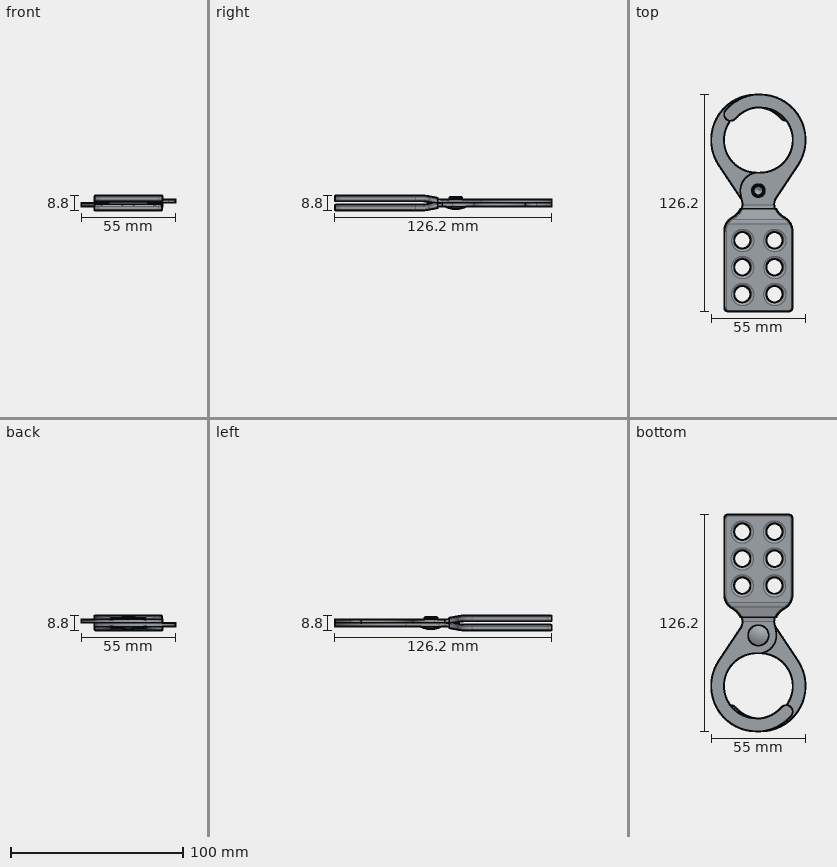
import cadquery as cq
import math


SHEET_THICKNESS = 2.1
RING_X = 1.0
RING_Y = 29.4
RING_OUTER_RADIUS = 26.5
RING_INNER_RADIUS = 18.9
TIP_ANGLE = 139.0
FLANK_ANGLE = -33.7
NECK_HALF_WIDTH = 9.2
NECK_ARC_RADIUS = 5.9
SHEET_END_HALF_WIDTH = 10.0
SHEET_END_Y = -12.6

BEND_START_Y = -8.3
BEND_ANGLE = 10.5
RISE_RADIUS = 13.5
LEVEL_RADIUS = 11.6

HANDLE_X = 0.1
HANDLE_HALF_WIDTH = 19.8
HANDLE_TOP_Y = -10.6
HANDLE_BOTTOM_Y = -70.3
HANDLE_THICKNESS = 3.5
HANDLE_OUTER_Z = 4.4
HANDLE_EDGE_RADIUS = 0.9
HANDLE_CORNER_RADIUS = 2.4
SHOULDER_RADIUS = 9.1
SHOULDER_Y = -23.6
WAIST_RADIUS = 11.4
WAIST_X = 20.6

HOLE_THROAT_DIAMETER = 9.5
HOLE_ROWS = 3
HOLE_COLUMN_X = 9.3
HOLE_FIRST_Y = -28.9
HOLE_PITCH = 15.7

RIVET_SHAFT_DIAMETER = 6.3
RIVET_HEAD_DIAMETER = 7.6
RIVET_HEAD_CHAMFER = 0.6
RIVET_RECESS_DIAMETER = 5.4
RIVET_RECESS_RIM_DEPTH = 0.5
RIVET_RECESS_DEPTH = 2.0
RIVET_DOME_DIAMETER = 12.0
RIVET_END_Z = 3.7

UPRIGHT_TOLERANCE = 0.01

SHEET_MID_Z = SHEET_THICKNESS / 2
HANDLE_MID_Z = HANDLE_OUTER_Z - HANDLE_THICKNESS / 2
BAND_HALF_WIDTH = RING_X + RING_OUTER_RADIUS
SLOPE = math.radians(BEND_ANGLE)
BEND_RISE = (RISE_RADIUS + LEVEL_RADIUS) * (1 - math.cos(SLOPE))
BEND_RUN = (RISE_RADIUS + LEVEL_RADIUS) * math.sin(SLOPE)
BEND_END_Y = BEND_START_Y - BEND_RUN - (HANDLE_MID_Z - SHEET_MID_Z - BEND_RISE) / math.tan(SLOPE)
HALF_HANDLE = HANDLE_THICKNESS / 2
PIVOT_DISC_RADIUS = math.hypot(RING_X, RING_Y) - RING_INNER_RADIUS
SHOULDER_X = HANDLE_HALF_WIDTH - SHOULDER_RADIUS
WAIST_Y = SHOULDER_Y + math.sqrt((SHOULDER_RADIUS + WAIST_RADIUS) ** 2 - (WAIST_X - SHOULDER_X) ** 2)


def polar(center, radius, angle):
    """Point on a circle, with the angle in degrees."""
    turn = math.radians(angle)
    return (center[0] + radius * math.cos(turn), center[1] + radius * math.sin(turn))


def mirrored(point):
    """Same point on the other side of the Y axis."""
    return (-point[0], point[1])


def rise_point(offset, angle):
    """Point of the bend from the flat sheet into the slope; offset is measured up from mid thickness."""
    return polar((BEND_START_Y, SHEET_MID_Z + RISE_RADIUS), RISE_RADIUS - offset, -90 - angle)


def level_point(offset, angle):
    """Point of the bend from the slope into the flat handle; offset is measured up from mid thickness."""
    return polar((BEND_END_Y, HANDLE_MID_Z - LEVEL_RADIUS), LEVEL_RADIUS + offset, 90 - angle)


def slope_point(offset):
    """Point where the slope, continued straight towards the ring, reaches the end of the handle."""
    start_y, start_z = level_point(offset, BEND_ANGLE)
    return (HANDLE_TOP_Y, start_z - (HANDLE_TOP_Y - start_y) * math.tan(SLOPE))


def sheet_band():
    """Wide band of sheet: flat at the ring, then bent into the slope."""
    half = SHEET_THICKNESS / 2
    ring_end_y = RING_Y + RING_OUTER_RADIUS
    return (
        cq.Workplane("YZ")
        .moveTo(ring_end_y, SHEET_MID_Z + half)
        .lineTo(*rise_point(half, 0))
        .threePointArc(rise_point(half, BEND_ANGLE / 2), rise_point(half, BEND_ANGLE))
        .lineTo(*level_point(half, BEND_ANGLE))
        .lineTo(*level_point(-half, BEND_ANGLE))
        .lineTo(*rise_point(-half, BEND_ANGLE))
        .threePointArc(rise_point(-half, BEND_ANGLE / 2), rise_point(-half, 0))
        .lineTo(ring_end_y, SHEET_MID_Z - half)
        .close()
        .extrude(BAND_HALF_WIDTH, both=True)
    )


def handle_band():
    """Wide band of handle: on the slope at the neck, then bent level."""
    return (
        cq.Workplane("YZ")
        .moveTo(*slope_point(HALF_HANDLE))
        .lineTo(*level_point(HALF_HANDLE, BEND_ANGLE))
        .threePointArc(level_point(HALF_HANDLE, BEND_ANGLE / 2), level_point(HALF_HANDLE, 0))
        .lineTo(HANDLE_BOTTOM_Y, HANDLE_MID_Z + HALF_HANDLE)
        .lineTo(HANDLE_BOTTOM_Y, HANDLE_MID_Z - HALF_HANDLE)
        .lineTo(*level_point(-HALF_HANDLE, 0))
        .threePointArc(level_point(-HALF_HANDLE, BEND_ANGLE / 2), level_point(-HALF_HANDLE, BEND_ANGLE))
        .lineTo(*slope_point(-HALF_HANDLE))
        .close()
        .extrude(BAND_HALF_WIDTH, both=True)
    )


def make_sheet():
    """Metal hook of a jaw: open ring, pivot disc and neck."""
    ring = (RING_X, RING_Y)
    pivot = (0, 0)
    tip_radius = (RING_OUTER_RADIUS - RING_INNER_RADIUS) / 2
    tip_center = polar(ring, RING_INNER_RADIUS + tip_radius, TIP_ANGLE)

    flank_start = polar(ring, RING_OUTER_RADIUS, FLANK_ANGLE)
    flank_normal = polar(pivot, 1, FLANK_ANGLE)
    neck_arc_x = NECK_HALF_WIDTH + NECK_ARC_RADIUS
    neck_arc_y = (
        flank_start[1]
        + (NECK_ARC_RADIUS - (neck_arc_x - flank_start[0]) * flank_normal[0]) / flank_normal[1]
    )
    neck_arc = (neck_arc_x, neck_arc_y)
    flank_end = polar(neck_arc, NECK_ARC_RADIUS, FLANK_ANGLE + 180)
    neck_arc_middle = polar(neck_arc, NECK_ARC_RADIUS, 180 + FLANK_ANGLE / 2)
    neck_side = (NECK_HALF_WIDTH, neck_arc_y)
    sheet_end = (SHEET_END_HALF_WIDTH, SHEET_END_Y)

    disc_start_angle = math.degrees(math.atan2(RING_Y, RING_X))
    disc_end_angle = (
        360
        + math.degrees(math.atan2(neck_arc_y, -NECK_HALF_WIDTH))
        - math.degrees(math.acos(PIVOT_DISC_RADIUS / math.hypot(*neck_side)))
    )
    disc_middle_angle = (disc_start_angle + disc_end_angle) / 2

    outline = (
        cq.Workplane("XY")
        .moveTo(*flank_start)
        .threePointArc(
            polar(ring, RING_OUTER_RADIUS, (FLANK_ANGLE + TIP_ANGLE) / 2),
            polar(ring, RING_OUTER_RADIUS, TIP_ANGLE),
        )
        .threePointArc(
            polar(tip_center, tip_radius, TIP_ANGLE + 90),
            polar(ring, RING_INNER_RADIUS, TIP_ANGLE),
        )
        .threePointArc(
            polar(ring, RING_INNER_RADIUS, 0),
            polar(pivot, PIVOT_DISC_RADIUS, disc_start_angle),
        )
        .threePointArc(
            polar(pivot, PIVOT_DISC_RADIUS, disc_middle_angle),
            polar(pivot, PIVOT_DISC_RADIUS, disc_end_angle),
        )
        .lineTo(*mirrored(neck_side))
        .lineTo(*mirrored(sheet_end))
        .lineTo(*sheet_end)
        .lineTo(*neck_side)
        .threePointArc(neck_arc_middle, flank_end)
        .close()
    )
    return outline.extrude(HANDLE_OUTER_Z).intersect(sheet_band())


def handle_outline():
    """Handle with rounded shoulders and a concave waist at the neck."""
    shoulder = (SHOULDER_X, SHOULDER_Y)
    waist = (WAIST_X, WAIST_Y)
    meet_angle = math.degrees(math.atan2(WAIST_Y - SHOULDER_Y, WAIST_X - SHOULDER_X))
    neck_angle = 180 + math.degrees(math.asin((WAIST_Y - HANDLE_TOP_Y) / WAIST_RADIUS))
    shoulder_start = (HANDLE_HALF_WIDTH, SHOULDER_Y)
    shoulder_middle = polar(shoulder, SHOULDER_RADIUS, meet_angle / 2)
    shoulder_end = polar(shoulder, SHOULDER_RADIUS, meet_angle)
    waist_middle = polar(waist, WAIST_RADIUS, (meet_angle + 180 + neck_angle) / 2)
    neck = polar(waist, WAIST_RADIUS, neck_angle)
    return (
        cq.Workplane("XY")
        .moveTo(HANDLE_HALF_WIDTH, HANDLE_BOTTOM_Y)
        .lineTo(*shoulder_start)
        .threePointArc(shoulder_middle, shoulder_end)
        .threePointArc(waist_middle, neck)
        .lineTo(*mirrored(neck))
        .threePointArc(mirrored(waist_middle), mirrored(shoulder_end))
        .threePointArc(mirrored(shoulder_middle), mirrored(shoulder_start))
        .lineTo(-HANDLE_HALF_WIDTH, HANDLE_BOTTOM_Y)
        .close()
    )


def padlock_holes():
    """Cutters that narrow along a quarter round from each face to the throat at mid thickness."""
    throat = HOLE_THROAT_DIAMETER / 2
    mouth = throat + HALF_HANDLE
    cutter = (
        cq.Workplane("XZ")
        .moveTo(0, -HALF_HANDLE)
        .lineTo(mouth, -HALF_HANDLE)
        .radiusArc((throat, 0), HALF_HANDLE)
        .radiusArc((mouth, HALF_HANDLE), HALF_HANDLE)
        .lineTo(0, HALF_HANDLE)
        .close()
        .revolve(360, (0, 0, 0), (0, 1, 0))
        .val()
    )
    places = [
        (side * HOLE_COLUMN_X, HOLE_FIRST_Y - row * HOLE_PITCH, HANDLE_MID_Z)
        for side in (-1, 1)
        for row in range(HOLE_ROWS)
    ]
    return cq.Workplane("XY").newObject([cutter.translate(cq.Vector(*place)) for place in places])


def is_side(face):
    """A side face stands upright, along the outline of the handle."""
    return abs(face.normalAt().z) < UPRIGHT_TOLERANCE


def rim_edges(handle):
    """Edges between the sides and the two broad faces, leaving the end at the neck sharp."""
    neck_end = handle.faces(">Y").edges().vals()
    sides = [face for face in handle.faces().vals() if is_side(face)]
    broad_faces = [face for face in handle.faces().vals() if not is_side(face)]
    side_edges = [edge for face in sides for edge in face.Edges()]
    broad_edges = [edge for face in broad_faces for edge in face.Edges()]

    def belongs(edge, edges):
        return any(edge.isSame(other) for other in edges)

    return [edge for edge in broad_edges if belongs(edge, side_edges) and not belongs(edge, neck_end)]


def make_handle():
    """Thick coated handle, bent like the sheet and kept clear of the other jaw."""
    prism = handle_outline().extrude(2 * HANDLE_OUTER_Z, both=True)
    prism = prism.edges("|Z and <Y").fillet(HANDLE_CORNER_RADIUS)
    handle = prism.intersect(handle_band())
    handle = handle.newObject(rim_edges(handle)).fillet(HANDLE_EDGE_RADIUS)

    for hole in padlock_holes().vals():
        handle = handle.cut(cq.Workplane(hole))

    below_joint = handle_outline().extrude(-HANDLE_OUTER_Z)
    handle = handle.cut(below_joint)
    return handle.translate((HANDLE_X, 0, 0))


def make_jaw():
    """One jaw: the metal hook with the coated handle formed onto it, on the upper side of the joint."""
    rivet_hole = cq.Workplane("XY").circle(RIVET_SHAFT_DIAMETER / 2).extrude(SHEET_THICKNESS)
    return make_sheet().cut(rivet_hole).union(make_handle())


def make_rivet():
    """Rivet with a low dome below and a bevelled head with a conical recess above."""
    shaft = RIVET_SHAFT_DIAMETER / 2
    head = RIVET_HEAD_DIAMETER / 2
    dome = RIVET_DOME_DIAMETER / 2
    dome_height = RIVET_END_Z - SHEET_THICKNESS
    dome_radius = (dome**2 + dome_height**2) / (2 * dome_height)
    return (
        cq.Workplane("XZ")
        .moveTo(0, -RIVET_END_Z)
        .radiusArc((dome, -SHEET_THICKNESS), -dome_radius)
        .lineTo(shaft, -SHEET_THICKNESS)
        .lineTo(shaft, SHEET_THICKNESS)
        .lineTo(head, SHEET_THICKNESS)
        .lineTo(head, RIVET_END_Z - RIVET_HEAD_CHAMFER)
        .lineTo(head - RIVET_HEAD_CHAMFER, RIVET_END_Z)
        .lineTo(RIVET_RECESS_DIAMETER / 2, RIVET_END_Z - RIVET_RECESS_RIM_DEPTH)
        .lineTo(0, RIVET_END_Z - RIVET_RECESS_DEPTH)
        .close()
        .revolve(360, (0, 0, 0), (0, 1, 0))
    )


upper_jaw = make_jaw()
lower_jaw = upper_jaw.rotate((0, 0, 0), (0, 1, 0), 180)
rivet = make_rivet()

result = cq.Compound.makeCompound([upper_jaw.val(), lower_jaw.val(), rivet.val()])